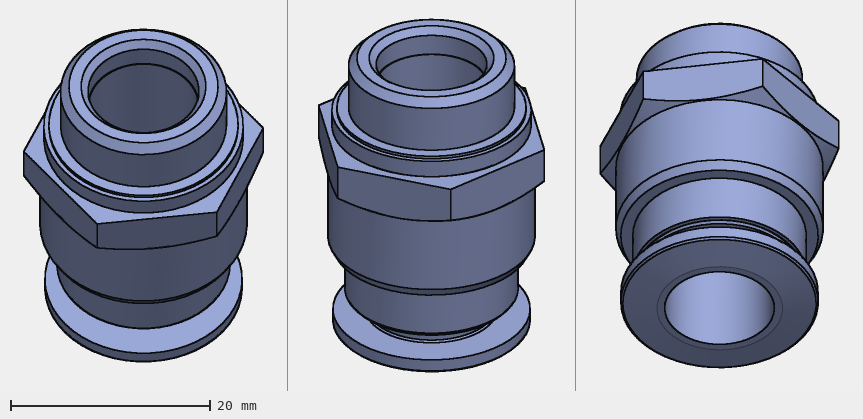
import cadquery as cq
import math


total_height = 31.5
bore_diameter = 11.0

spigot_diameter = 16.66
spigot_length = 5.75
spigot_chamfer = 0.85
mouth_diameter = 11.11
mouth_length = 2.9
mouth_chamfer = 0.7

seal_band_diameter = 20.0
seal_lip_diameter = 19.0
seal_lip_height = 0.3
seal_height = 2.4

hex_sides = 6
hex_across_flats = 21.0
hex_height = 4.65
hex_chamfer_angle = 30.0

body_diameter = 20.8
body_end_diameter = 19.8
body_height = 9.0
body_chamfer_height = 0.95

collar_diameter = 17.4
collar_height = 5.2
ring_diameter = 17.0
ring_height = 0.5
ring_bevel = ring_height / 2

neck_diameter = 12.8
neck_chamfer = 0.2
flange_diameter = 19.8
flange_thickness = 2.1
flange_rim_height = 1.3
flange_rim_bevel = 0.2
flange_cone_angle = 10.0

spigot_bottom = total_height - spigot_length
hex_top = spigot_bottom - seal_height
hex_bottom = hex_top - hex_height
body_bottom = hex_bottom - body_height
collar_bottom = body_bottom - collar_height
ring_bottom = collar_bottom - ring_height
flange_top = flange_thickness


def cylinder(diameter, bottom, top):
    return cq.Workplane("XY").workplane(offset=bottom).circle(diameter / 2).extrude(top - bottom)


def frustum(bottom_diameter, top_diameter, bottom, top):
    """Cone section between two levels."""
    profile = [(0, bottom), (bottom_diameter / 2, bottom), (top_diameter / 2, top), (0, top)]
    return cq.Workplane("XZ").polyline(profile).close().revolve(360, (0, 0), (0, 1))


def make_spigot():
    spigot = cylinder(spigot_diameter, spigot_bottom, total_height)
    return spigot.faces(">Z").chamfer(spigot_chamfer)


def make_seal():
    lips = cylinder(seal_lip_diameter, hex_top, spigot_bottom)
    band = cylinder(seal_band_diameter, hex_top + seal_lip_height, spigot_bottom - seal_lip_height)
    return lips.union(band)


def make_hexagon():
    """Hexagon with corners on the Y axis; a cone trims its lower corners."""
    across_corners = hex_across_flats / math.cos(math.pi / hex_sides)
    prism = (
        cq.Workplane("XY")
        .workplane(offset=hex_bottom)
        .transformed(rotate=(0, 0, 90))
        .polygon(hex_sides, across_corners)
        .extrude(hex_height)
    )
    cone_spread = 2 * hex_height / math.tan(math.radians(hex_chamfer_angle))
    trim = frustum(body_diameter, body_diameter + cone_spread, hex_bottom, hex_top)
    return prism.intersect(trim)


def make_body():
    chamfer_top = body_bottom + body_chamfer_height
    barrel = cylinder(body_diameter, chamfer_top, hex_bottom)
    return barrel.union(frustum(body_end_diameter, body_diameter, body_bottom, chamfer_top))


def make_collar():
    collar = cylinder(collar_diameter, collar_bottom, body_bottom)
    ring_middle = ring_bottom + ring_bevel
    ring_end_diameter = ring_diameter - 2 * ring_bevel
    lower_bevel = frustum(ring_end_diameter, ring_diameter, ring_bottom, ring_middle)
    upper_bevel = frustum(ring_diameter, ring_end_diameter, ring_middle, collar_bottom)
    return collar.union(upper_bevel).union(lower_bevel)


def make_sleeve():
    """Neck and flange; the flange underside is a shallow cone around a flat centre."""
    rim_bottom = flange_top - flange_rim_height
    cone_top = rim_bottom - flange_rim_bevel
    cone_diameter = flange_diameter - 2 * flange_rim_bevel
    flat_diameter = cone_diameter - 2 * cone_top / math.tan(math.radians(flange_cone_angle))
    neck = cylinder(neck_diameter, flange_top, ring_bottom)
    neck_foot = frustum(neck_diameter + 2 * neck_chamfer, neck_diameter, flange_top, flange_top + neck_chamfer)
    rim = cylinder(flange_diameter, rim_bottom, flange_top)
    rim_bevel = frustum(cone_diameter, flange_diameter, cone_top, rim_bottom)
    underside = frustum(flat_diameter, cone_diameter, 0, cone_top)
    return neck.union(neck_foot).union(rim).union(rim_bevel).union(underside)


def make_bore():
    """Through bore, with a slightly wider chamfered mouth at the top."""
    through = cylinder(bore_diameter, 0, total_height)
    mouth = cylinder(mouth_diameter, total_height - mouth_length, total_height)
    mouth_outer_diameter = mouth_diameter + 2 * mouth_chamfer
    countersink = frustum(mouth_diameter, mouth_outer_diameter, total_height - mouth_chamfer, total_height)
    return through.union(mouth).union(countersink)


outer_shape = (
    make_spigot()
    .union(make_seal())
    .union(make_hexagon())
    .union(make_body())
    .union(make_collar())
    .union(make_sleeve())
)
result = outer_shape.cut(make_bore())